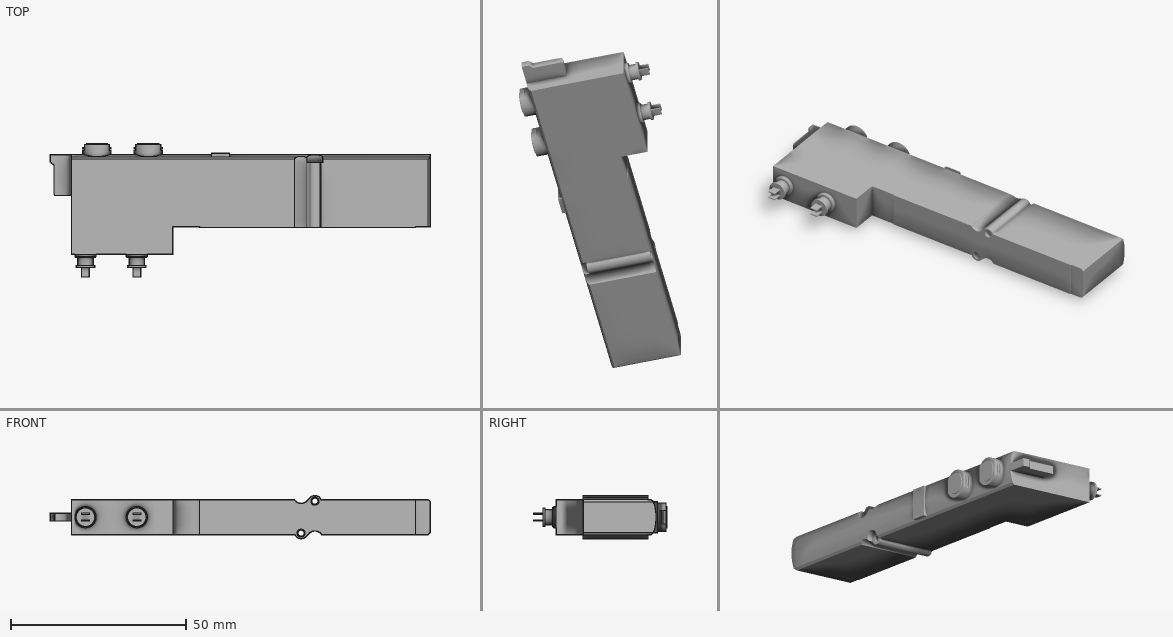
import cadquery as cq
import math


length = 108.5
body_left = 6.1
half_height = 10.1 / 2
leg_right = 35.0
step_y = 7.8
pad_y = 7.6
pad_left = 42.6
pad_right = 104.3
back_y = 28.5
chamfer = 0.7
back_chamfer_start = 27.1
back_edge_y = back_chamfer_start + chamfer
back_edge_z = half_height - chamfer

ridge_top = 6.2
ridge_radius = 3.9 / 2
ridge_z = ridge_top - ridge_radius
ridge_outer_run = 0.3
groove_radius = 4.5 / 2
groove_z = ridge_z + ridge_radius
upper_groove_x = 71.6
screw_z = 4.6
screw_diameter = 1.7
mouth_diameter = 2.3
mouth_depth = 2.2
counterbore_diameter = 4.5
counterbore_y = 26.3

flank_share = math.sqrt(0.5)
ridge_flank = ridge_radius * flank_share
groove_flank = groove_radius * flank_share
pair_spacing = 2 * (ridge_flank + groove_flank) - (groove_z - ridge_z)
upper_ridge_x = upper_groove_x + pair_spacing
pair_middle_x = upper_groove_x + pair_spacing / 2

latch_front = 16.7
latch_back = 28.4
latch_half_thickness = 2.3 / 2
latch_corner = 0.3
latch_hook_depth = 1.1
latch_hook_start = 25.4
latch_hook_end = 26.4

tab_left = 46.1
tab_right = 51.2
tab_back = 28.9
tab_half_height = 4.5
tab_depth = 1.3

pair_pitch = 14.6
knob_x = 13.3
knob_base_y = 27.1
knob_shoulder_y = 31.4
knob_top_y = 31.7
knob_diameter = 8.1
knob_cap_diameter = 6.1
knob_flat_y = 30.5
knob_flat_distance = 3.6
knob_slot_y = 29.6
knob_slot_width = 0.4
knob_slot_half_height = 2.3

plug_x = 10.1
flange_diameter = 6.1
flange_thickness = 1.0
flange_chamfer = 0.3
stem_diameter = 4.5
collar_diameter = 5.3
collar_start = 3.1
collar_end = 3.8
blade_end = 6.5
blade_width = 2.3
blade_thickness = 0.3
blade_offset = 1.0


def box(x_range, y_range, z_range):
    """Box between the given limits on each axis."""
    sizes = [high - low for low, high in (x_range, y_range, z_range)]
    corner = (x_range[0], y_range[0], z_range[0])
    return cq.Workplane("XY").box(*sizes, centered=False).translate(corner)


def cylinder_y(x, z, diameter, y_start, y_end):
    """Cylinder along Y between two Y positions."""
    plane = cq.Workplane("XZ", origin=(x, y_start, z))
    return plane.circle(diameter / 2).extrude(y_start - y_end)


def opposite(point):
    """Point turned half a turn about the middle of the ridge and groove pairs."""
    return (2 * pair_middle_x - point[0], -point[1])


def lengthwise_outline():
    """Long X-Z outline: one groove and one ridge above, the same pair turned below."""
    groove_tangent_z = groove_z - groove_flank
    ridge_tangent_z = ridge_z + ridge_flank
    groove_half_width = math.sqrt(groove_radius**2 - (groove_z - half_height) ** 2)

    groove_edge = (upper_groove_x - groove_half_width, half_height)
    groove_bottom = (upper_groove_x, groove_z - groove_radius)
    groove_end = (upper_groove_x + groove_flank, groove_tangent_z)
    ridge_start = (upper_ridge_x - ridge_flank, ridge_tangent_z)
    ridge_peak = (upper_ridge_x, ridge_top)
    ridge_end = (upper_ridge_x + ridge_flank, ridge_tangent_z)
    ridge_edge = (upper_ridge_x + ridge_flank + ridge_outer_run, half_height)

    return (
        cq.Workplane("XZ")
        .moveTo(body_left, half_height)
        .lineTo(*groove_edge)
        .threePointArc(groove_bottom, groove_end)
        .lineTo(*ridge_start)
        .threePointArc(ridge_peak, ridge_end)
        .lineTo(*ridge_edge)
        .lineTo(length - chamfer, half_height)
        .lineTo(length, half_height - chamfer)
        .lineTo(length, chamfer - half_height)
        .lineTo(length - chamfer, -half_height)
        .lineTo(*opposite(groove_edge))
        .threePointArc(opposite(groove_bottom), opposite(groove_end))
        .lineTo(*opposite(ridge_start))
        .threePointArc(opposite(ridge_peak), opposite(ridge_end))
        .lineTo(*opposite(ridge_edge))
        .lineTo(body_left, -half_height)
        .close()
    )


def cross_section():
    """Y-Z section: full ridge height up to the counterbores, then a chamfered, bowed back."""
    return (
        cq.Workplane("YZ")
        .moveTo(pad_y, ridge_top)
        .lineTo(counterbore_y, ridge_top)
        .lineTo(counterbore_y, half_height)
        .lineTo(back_chamfer_start, half_height)
        .lineTo(back_edge_y, back_edge_z)
        .threePointArc((back_y, 0), (back_edge_y, -back_edge_z))
        .lineTo(back_chamfer_start, -half_height)
        .lineTo(counterbore_y, -half_height)
        .lineTo(counterbore_y, -ridge_top)
        .lineTo(pad_y, -ridge_top)
        .close()
    )


def make_body():
    """Long slice with a raised pad on its front face and a deeper leg at the left."""
    body = lengthwise_outline().extrude(-back_y)
    body = body.intersect(cross_section().extrude(length))
    full_height = (-ridge_top, ridge_top)
    body = body.cut(box((body_left, pad_left), (pad_y, step_y), full_height))
    body = body.cut(box((pad_right, length), (pad_y, step_y), full_height))
    leg = box((body_left, leg_right), (0, back_chamfer_start), (-half_height, half_height))
    return body.union(leg)


def make_screw_holes():
    """Two through holes, widened at the front and counterbored from the back."""
    holes = cq.Workplane("XY")
    for x, z in ((upper_ridge_x, screw_z), (upper_groove_x, -screw_z)):
        holes = holes.union(cylinder_y(x, z, screw_diameter, pad_y, back_y))
        holes = holes.union(cylinder_y(x, z, mouth_diameter, pad_y, pad_y + mouth_depth))
        holes = holes.union(cylinder_y(x, z, counterbore_diameter, counterbore_y, back_y))
    return holes


def make_latch():
    """Flat hooked latch projecting from the left end."""
    outline = [
        (body_left, latch_front),
        (latch_hook_depth + latch_corner, latch_front),
        (latch_hook_depth, latch_front + latch_corner),
        (latch_hook_depth, latch_hook_start),
        (0, latch_hook_end),
        (0, latch_back),
        (body_left, latch_back),
    ]
    profile = cq.Workplane("XY").polyline(outline).close()
    return profile.extrude(latch_half_thickness, both=True)


def make_tab():
    """Low tab across the back face."""
    return box(
        (tab_left, tab_right),
        (tab_back - tab_depth, tab_back),
        (-tab_half_height, tab_half_height),
    )


def make_knob(x):
    """Round knob with a stepped cap, side flats and side slots."""
    knob = cylinder_y(x, 0, knob_diameter, knob_base_y, knob_shoulder_y)
    radius = knob_diameter / 2
    for side in (-1, 1):
        x_range = sorted((x + side * knob_flat_distance, x + side * radius))
        flat = box(x_range, (knob_flat_y, knob_shoulder_y), (-radius, radius))
        slot = box(
            x_range,
            (knob_slot_y, knob_slot_y + knob_slot_width),
            (-knob_slot_half_height, knob_slot_half_height),
        )
        knob = knob.cut(flat).cut(slot)
    return knob.union(cylinder_y(x, 0, knob_cap_diameter, knob_base_y, knob_top_y))


def make_plug(x):
    """Flanged stem with a collar and two thin contact blades."""
    flange = cylinder_y(x, 0, flange_diameter, 0, -flange_thickness)
    plug = flange.faces("<Y").chamfer(flange_chamfer)
    plug = plug.union(cylinder_y(x, 0, stem_diameter, 0, -collar_end))
    plug = plug.union(cylinder_y(x, 0, collar_diameter, -collar_start, -collar_end))
    for z in (-blade_offset, blade_offset):
        blade = box(
            (x - blade_width / 2, x + blade_width / 2),
            (-blade_end, -collar_start),
            (z - blade_thickness / 2, z + blade_thickness / 2),
        )
        plug = plug.union(blade)
    return plug


result = make_body().cut(make_screw_holes())
result = result.union(make_latch()).union(make_tab())
for offset in (0, pair_pitch):
    result = result.union(make_knob(knob_x + offset))
    result = result.union(make_plug(plug_x + offset))